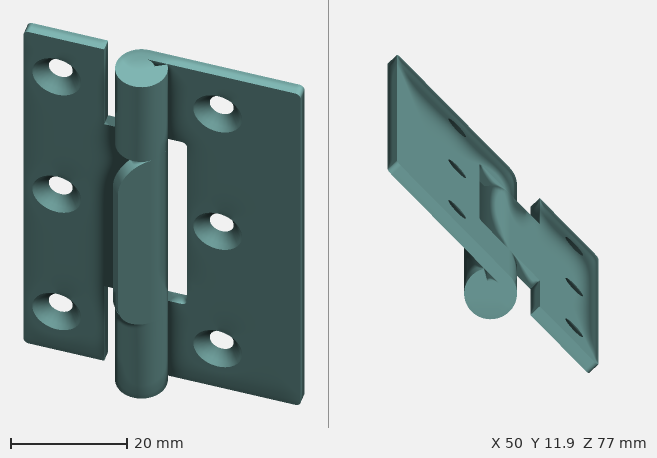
import cadquery as cq
import math

height = 77.0
thickness = 2.2
pin_radius = 2.3
knuckle_radius = pin_radius + thickness
back_y = knuckle_radius
front_y = back_y - thickness

left_width = 22.0
right_width = 27.95
middle_length = 40.05
notch_reach = 7.5
corner_radius = 1.0
notch_radius = 1.0

hole_diameter = 4.3
countersink_diameter = 2 * thickness + hole_diameter
hole_spacing = 29.0
left_hole_x = -16.0
right_hole_x = 13.0

curl_end_angle = 29.0
tab_start_angle = -50.0
tab_length = 6.2
tab_corner_radius = 6.0


def polar(radius, angle):
    """Point in the XY plane at an angle in degrees about the pin axis."""
    return radius * math.cos(math.radians(angle)), radius * math.sin(math.radians(angle))


def cut_screw_holes(leaf, hole_x):
    """Cut a column of three screw holes whose cones narrow toward the back face."""
    for row in (-1, 0, 1):
        cone = cq.Solid.makeCone(
            countersink_diameter / 2, hole_diameter / 2, thickness,
            cq.Vector(hole_x, front_y, row * hole_spacing), cq.Vector(0, 1, 0),
        )
        leaf = leaf.cut(cq.Workplane(cone))
    return leaf


def round_outer_corners(leaf, side):
    """Round the two plate corners farthest from the pin."""
    return leaf.faces(side).edges("|Y").fillet(corner_radius)


def make_pin():
    return cq.Workplane("XY", origin=(0, 0, -height / 2)).circle(pin_radius).extrude(height)


def make_left_leaf():
    """Leaf with the central knuckle, which ends in a rounded straight tab."""
    plate_width = left_width - notch_reach
    plate = (
        cq.Workplane("XY")
        .center(-left_width + plate_width / 2, back_y - thickness / 2)
        .rect(plate_width, thickness)
        .extrude(height / 2, both=True)
    )
    plate = round_outer_corners(plate, "<X")

    mid_angle = (90 + tab_start_angle) / 2
    outer_x, outer_y = polar(knuckle_radius, tab_start_angle)
    inner_x, inner_y = polar(pin_radius, tab_start_angle)
    run_x, run_y = polar(tab_length, tab_start_angle - 90)
    knuckle = (
        cq.Workplane("XY")
        .moveTo(-notch_reach, back_y)
        .lineTo(0, back_y)
        .threePointArc(polar(knuckle_radius, mid_angle), (outer_x, outer_y))
        .lineTo(outer_x + run_x, outer_y + run_y)
        .lineTo(inner_x + run_x, inner_y + run_y)
        .lineTo(inner_x, inner_y)
        .threePointArc(polar(pin_radius, mid_angle), (0, front_y))
        .lineTo(-notch_reach, front_y)
        .close()
        .extrude(middle_length / 2, both=True)
    )
    across_tab = cq.Vector(*polar(1, tab_start_angle))
    knuckle = knuckle.edges(cq.selectors.ParallelDirSelector(across_tab)).fillet(tab_corner_radius)
    return cut_screw_holes(plate.union(knuckle), left_hole_x)


def make_right_leaf():
    """Leaf with an end knuckle above and below the central notch."""
    mid_angle = (90 + curl_end_angle + 360) / 2
    leaf = (
        cq.Workplane("XY")
        .moveTo(right_width, back_y)
        .lineTo(0, back_y)
        .threePointArc(polar(knuckle_radius, mid_angle), polar(knuckle_radius, curl_end_angle))
        .lineTo(*polar(pin_radius, curl_end_angle))
        .threePointArc(polar(pin_radius, mid_angle), (0, front_y))
        .lineTo(right_width, front_y)
        .close()
        .extrude(height / 2, both=True)
    )
    leaf = round_outer_corners(leaf, ">X")

    notch_depth = 2 * knuckle_radius
    notch = (
        cq.Workplane("XY")
        .box(2 * notch_reach, notch_depth, middle_length)
        .faces(">X").edges("|Y").fillet(notch_radius)
    )
    return cut_screw_holes(leaf.cut(notch), right_hole_x)


pin = make_pin()
left_leaf = make_left_leaf()
right_leaf = make_right_leaf()

result = cq.Compound.makeCompound([pin.val(), left_leaf.val(), right_leaf.val()])